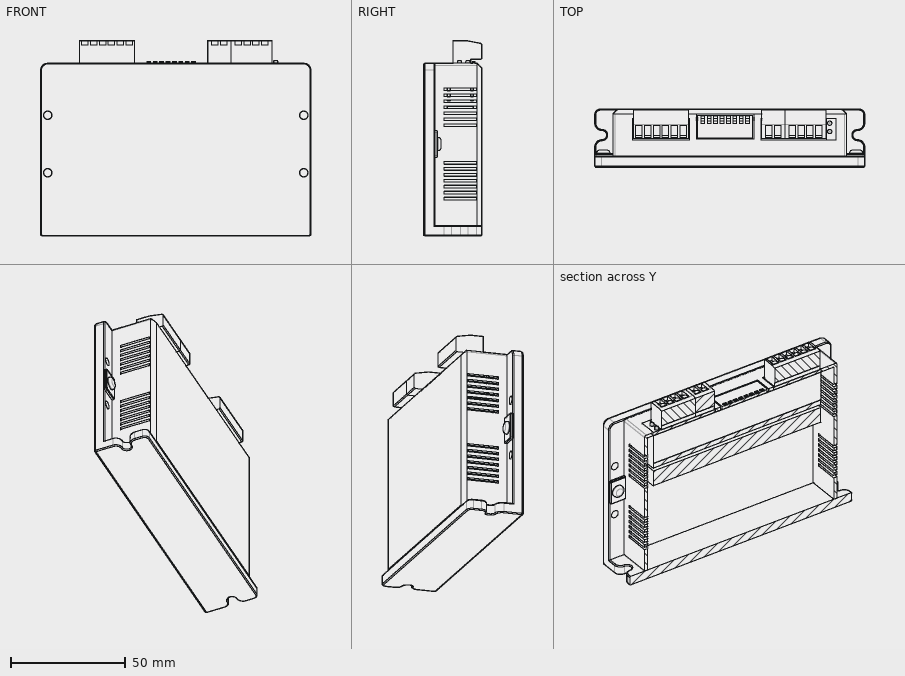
import cadquery as cq
import math

length = 118.0
depth = 25.5
case_height = 75.5
plug_top = 85.4

plate_thickness = 5.0
foot_thickness = 4.7
plate_corner_radius = 3.0
plate_face_chamfer = 0.7
plate_side_chamfer = 0.4
plate_rear_chamfer = 0.5
foot_corner_radius = 2.4
foot_edge_chamfer = 0.5
ear_slot_y = 14.2
ear_slot_radius = 2.0
ear_lip_radius = 3.2
plate_hole_diameter = 3.5
plate_hole_x = 55.9
plate_hole_spacing = 25.1

cover_length = 102.2
cover_wall = 1.9
cover_bevel = 2.1
cover_edge_radius = 1.0
side_center_z = 40.2

vent_count = 7
vent_pitch = 2.6
vent_first_offset = 8.3
vent_height = 1.1
vent_y_min = 9.0
vent_y_max = 23.0

tab_height = 11.8
tab_thickness = 1.2
tab_corner_radius = 0.8
tab_edge_chamfer = 0.4
screw_x = 55.2
screw_radius = 2.8
screw_height = 1.4
screw_round = 1.1

plug_y_min = 12.7
plug_neck_y = 20.6
plug_overhang_z = 77.2
plug_slope_y = 18.8
plug_front_top = 84.1
plug_edge_chamfer = 0.5
six_way_x = (-42.1, -17.9)
two_way_x = (13.9, 24.1)
four_way_x = (two_way_x[1], 42.1)
terminal_pitch = 3.9
terminal_width = 2.8
terminal_y_min = 13.1
terminal_y_max = 18.4
clamp_y_min = 14.0
clamp_top_drop = 0.2
clamp_radius = 6.5

opening_y = (11.9, 21.4)
six_way_opening_x = (-42.5, -17.6)
wide_opening_x = (13.6, 46.4)
light_panel_x = 42.2
collar_recess = 0.2
switch_opening_x = (-14.6, 10.6)
switch_opening_y = (12.4, 23.4)
switch_gap = 0.6

header_y_min = 8.5
header_bottom = 47.4
groove_inner_y = (11.6, 20.6)
groove_outer_y = (10.4, 21.6)
groove_floor = 59.2
channel_z = (55.3, 56.6)

lever_count = 8
lever_span = 19.6
lever_slot_width = 1.7
lever_slot_y = (19.2, 22.4)
lever_slot_depth = 0.6
lever_thickness = 1.1
lever_rise = 0.7
lever_foot_length = 1.0
lever_foot_drop = 0.2

lamp_x = 43.7
lamp_y = (15.7, 19.4)
lamp_radius = 1.0
lamp_rise = 1.3
lamp_round = 0.7

half_length = length / 2
half_cover = cover_length / 2
cover_ceiling = case_height - cover_wall
header_y_max = depth - cover_wall


def block(x_range, y_range, z_range):
    """Box between the given limits."""
    size = [high - low for low, high in (x_range, y_range, z_range)]
    return (
        cq.Workplane("XY")
        .box(*size, centered=False)
        .translate((x_range[0], y_range[0], z_range[0]))
    )


def make_foot():
    slot_x = half_length - ear_lip_radius
    lip_bottom = ear_slot_y - ear_slot_radius - ear_lip_radius
    lip_top = ear_slot_y + ear_slot_radius + ear_lip_radius
    lip_mid = ear_lip_radius * (1 - math.sqrt(0.5))
    corner_mid = foot_corner_radius * (1 - math.sqrt(0.5))
    outline = (
        cq.Workplane("XY")
        .moveTo(0, 0)
        .lineTo(half_length, 0)
        .lineTo(half_length, lip_bottom)
        .threePointArc(
            (half_length - lip_mid, lip_bottom + ear_lip_radius - lip_mid),
            (slot_x, ear_slot_y - ear_slot_radius),
        )
        .threePointArc((slot_x - ear_slot_radius, ear_slot_y), (slot_x, ear_slot_y + ear_slot_radius))
        .threePointArc(
            (half_length - lip_mid, lip_top - ear_lip_radius + lip_mid),
            (half_length, lip_top),
        )
        .lineTo(half_length, depth - foot_corner_radius)
        .threePointArc(
            (half_length - corner_mid, depth - corner_mid),
            (half_length - foot_corner_radius, depth),
        )
        .lineTo(0, depth)
        .close()
    )
    half_foot = outline.extrude(foot_thickness)
    foot = half_foot.union(half_foot.mirror("YZ"))
    return foot.faces("<Z or >Z").edges().chamfer(foot_edge_chamfer)


def make_plate():
    plate = block((-half_length, half_length), (0, plate_thickness), (0, case_height))
    plate = plate.edges("|Y and >Z").fillet(plate_corner_radius)
    plate = plate.edges("|Y and <Z").chamfer(foot_edge_chamfer)
    plate = plate.faces("<Y").edges().chamfer(plate_side_chamfer, plate_face_chamfer)
    plate = plate.faces(">Y").edges("not <Z").chamfer(plate_rear_chamfer)
    hole_points = [
        (side * plate_hole_x, side_center_z + level * plate_hole_spacing / 2)
        for side in (-1, 1)
        for level in (-1, 1)
    ]
    holes = (
        cq.Workplane("XZ")
        .pushPoints(hole_points)
        .circle(plate_hole_diameter / 2)
        .extrude(-plate_thickness)
    )
    return plate.cut(holes)


def make_base():
    rear_foot = make_foot().intersect(
        block((-length, length), (plate_face_chamfer, depth), (0, foot_thickness))
    )
    return make_plate().union(rear_foot)


def make_cover_shell():
    bevel_x = half_cover - cover_bevel
    bevel_y = depth - cover_bevel
    shell = (
        cq.Workplane("XY", origin=(0, 0, foot_thickness))
        .polyline([
            (-half_cover, plate_thickness),
            (half_cover, plate_thickness),
            (half_cover, bevel_y),
            (bevel_x, depth),
            (-bevel_x, depth),
            (-half_cover, bevel_y),
        ])
        .close()
        .extrude(case_height - foot_thickness)
    )
    shell = shell.faces(">Z").edges("<X or >X").fillet(cover_edge_radius)
    front_bevel = (
        cq.Workplane("YZ", origin=(-half_length, 0, 0))
        .polyline([
            (depth, case_height - cover_bevel),
            (depth, case_height),
            (depth - cover_bevel, case_height),
        ])
        .close()
        .extrude(length)
    )
    cavity_x = half_cover - cover_wall
    cavity = block(
        (-cavity_x, cavity_x),
        (plate_thickness, depth - cover_wall),
        (foot_thickness, cover_ceiling),
    )
    return shell.cut(front_bevel).cut(cavity)


def make_vents():
    """Slots that pass through both side walls, in two mirrored groups."""
    vents = cq.Workplane("XY")
    for direction in (-1, 1):
        for index in range(vent_count):
            center_z = side_center_z + direction * (vent_first_offset + index * vent_pitch)
            vents = vents.add(block(
                (-half_length, half_length),
                (vent_y_min, vent_y_max),
                (center_z - vent_height / 2, center_z + vent_height / 2),
            ))
    return vents.combine()


def make_tab(side):
    """Screw tab that lies against the back of the base plate."""
    tab = block(
        (half_cover - cover_wall, half_length),
        (plate_thickness, plate_thickness + tab_thickness),
        (side_center_z - tab_height / 2, side_center_z + tab_height / 2),
    )
    tab = tab.edges("|Y and >X").fillet(tab_corner_radius)
    tab = tab.faces(">Y").edges("not <X").chamfer(tab_edge_chamfer)
    return tab if side > 0 else tab.mirror("YZ")


def make_cover():
    cover = make_cover_shell().cut(make_vents())
    through_top = (cover_ceiling, case_height)
    cover = cover.cut(block(six_way_opening_x, opening_y, through_top))
    cover = cover.cut(block(wide_opening_x, opening_y, through_top))
    cover = cover.cut(block(switch_opening_x, switch_opening_y, through_top))
    for side in (-1, 1):
        cover = cover.union(make_tab(side))
    return cover


def make_screw_head(side):
    head = (
        cq.Workplane("XZ", origin=(0, plate_thickness + tab_thickness, 0))
        .center(side * screw_x, side_center_z)
        .circle(screw_radius)
        .extrude(-screw_height)
    )
    return head.faces(">Y").edges().fillet(screw_round)


def make_header_body():
    """Block behind the cover openings, closing off the upper vents."""
    x_range = (six_way_opening_x[0], wide_opening_x[1])
    header = block(x_range, (header_y_min, header_y_max), (header_bottom, cover_ceiling))
    groove_z = (groove_floor, cover_ceiling)
    header = header.cut(block(x_range, (groove_outer_y[0], groove_inner_y[0]), groove_z))
    header = header.cut(block(x_range, (groove_inner_y[1], groove_outer_y[1]), groove_z))
    return header.cut(block(x_range, groove_outer_y, channel_z))


def make_collars():
    collar_z = (cover_ceiling, case_height - collar_recess)
    six_way_collar = block(six_way_opening_x, opening_y, collar_z)
    wide_collar = block((wide_opening_x[0], light_panel_x), opening_y, collar_z)
    light_panel = block((light_panel_x, wide_opening_x[1]), opening_y, (cover_ceiling, case_height))
    return six_way_collar, wide_collar.union(light_panel)


def make_switch_bank():
    left, right = switch_opening_x
    bottom, top = switch_opening_y
    bank = block(
        (left + switch_gap, right - switch_gap),
        (bottom + switch_gap, top - switch_gap),
        (cover_ceiling, case_height),
    )
    first_x = (left + right) / 2 - lever_span / 2
    lever_pitch = lever_span / (lever_count - 1)
    for index in range(lever_count):
        center_x = first_x + index * lever_pitch
        lever_x = (center_x - lever_slot_width / 2, center_x + lever_slot_width / 2)
        slot_floor = case_height - lever_slot_depth
        lever_y = (lever_slot_y[1] - lever_thickness, lever_slot_y[1])
        bank = bank.cut(block(lever_x, lever_slot_y, (slot_floor, case_height)))
        bank = bank.union(block(lever_x, lever_y, (slot_floor, case_height + lever_rise)))
        foot_y = (lever_y[0] - lever_foot_length, lever_y[0])
        bank = bank.union(block(lever_x, foot_y, (slot_floor, case_height - lever_foot_drop)))
    return bank


def make_lamp(center_y):
    lamp = (
        cq.Workplane("XY", origin=(lamp_x, center_y, case_height))
        .circle(lamp_radius)
        .extrude(lamp_rise)
    )
    return lamp.faces(">Z").edges().fillet(lamp_round)


def make_header():
    header = make_header_body()
    for collar in make_collars():
        header = header.union(collar)
    header = header.union(make_switch_bank())
    for center_y in lamp_y:
        header = header.union(make_lamp(center_y))
    return header


def make_terminal(center_x):
    """Pocket in the plug top whose floor is a rounded clamp."""
    clamp_top = plug_top - clamp_top_drop
    reach = terminal_y_max - clamp_y_min
    clamp_floor = clamp_top - clamp_radius + math.sqrt(clamp_radius**2 - reach**2)
    half_reach = reach / 2
    clamp_middle = clamp_top - clamp_radius + math.sqrt(clamp_radius**2 - half_reach**2)
    return (
        cq.Workplane("YZ", origin=(center_x - terminal_width / 2, 0, 0))
        .moveTo(terminal_y_min, plug_top)
        .lineTo(terminal_y_min, clamp_floor)
        .lineTo(clamp_y_min, clamp_floor)
        .threePointArc((terminal_y_max - half_reach, clamp_middle), (terminal_y_max, clamp_top))
        .lineTo(terminal_y_max, plug_top)
        .close()
        .extrude(terminal_width)
    )


def make_plug(x_range, terminal_count):
    left, right = x_range
    plug_bottom = case_height - collar_recess
    plug = (
        cq.Workplane("YZ", origin=(left, 0, 0))
        .polyline([
            (plug_y_min, plug_bottom),
            (plug_neck_y, plug_bottom),
            (plug_neck_y, plug_overhang_z),
            (depth, plug_overhang_z),
            (depth, plug_front_top),
            (plug_slope_y, plug_top),
            (plug_y_min, plug_top),
        ])
        .close()
        .extrude(right - left)
        .edges("|X and >Y")
        .chamfer(plug_edge_chamfer)
    )
    first_x = (left + right) / 2 - (terminal_count - 1) * terminal_pitch / 2
    for index in range(terminal_count):
        plug = plug.cut(make_terminal(first_x + index * terminal_pitch))
    return plug


base = make_base()
cover = make_cover()
header = make_header()
screw_heads = [make_screw_head(side) for side in (-1, 1)]
plugs = [
    make_plug(x_range, terminal_count)
    for x_range, terminal_count in ((six_way_x, 6), (two_way_x, 2), (four_way_x, 4))
]

result = cq.Compound.makeCompound([
    base.val(),
    cover.val(),
    header.val(),
    *[head.val() for head in screw_heads],
    *[plug.val() for plug in plugs],
])